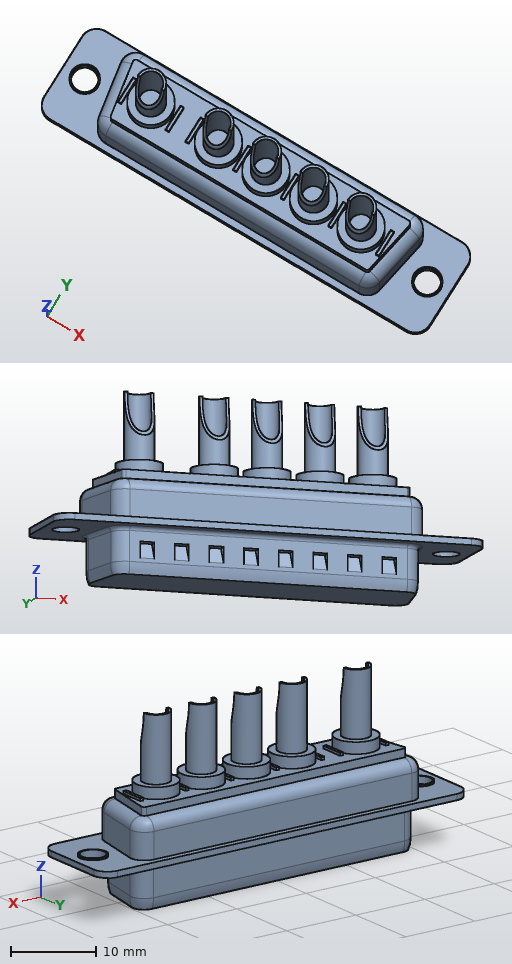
import cadquery as cq
import math

flange_length = 53.04
flange_width = 12.5
flange_corner_radius = 2.0
flange_bottom_z = 5.7
flange_top_z = 6.5
mount_hole_spacing = 47.1
mount_hole_diameter = 3.2
mount_lip_diameter = 3.6
mount_lip_height = 0.2

end_slope = math.tan(math.radians(10))

rear_width = 10.7
rear_mid_length = 39.9
rear_corner_radius = 1.9
rear_top_round = 1.5
rear_top_z = 11.5

insulator_top_z = 12.6

mating_width = 9.1
mating_mid_length = 39.1
mating_corner_radius = 1.85
flare_radius = 0.5
nose_height = 1.5
nose_mid_height = 0.7
nose_mid_inset = 0.06
nose_inset = 0.28

dimple_count = 8
dimple_pitch = 4.28
dimple_width = 1.75
dimple_bottom_z = 2.0
dimple_top_z = 3.95
dimple_depth = 0.5
dimple_draft = 20

contact_pitch = 6.54
first_contact_x = -14.45
last_contact_x = 14.45
equally_spaced_contacts = 4
collar_diameter = 5.6
collar_top_z = 14.1
cup_diameter = 3.6
cup_bore_diameter = 2.9
cup_top_z = 22.7
scoop_bottom_z = 17.25

rib_width = 0.45
rib_length = 3.4
rib_height = 0.35

contact_xs = [last_contact_x - i * contact_pitch for i in range(equally_spaced_contacts)]
rib_xs = [x + contact_pitch / 2 for x in contact_xs]
rib_xs.append(contact_xs[-1] - contact_pitch / 2)
rib_xs += [first_contact_x - contact_pitch / 2, first_contact_x + contact_pitch / 2]
contact_xs.append(first_contact_x)


def trapezoid_prism(mid_length, width, corner_radius, bottom_z, top_z):
    """Upright prism with a rounded trapezoid outline; mid_length is the length at Y = 0."""
    half_width = width / 2
    half_back = mid_length / 2 + half_width * end_slope
    half_front = mid_length / 2 - half_width * end_slope
    corners = [
        (-half_back, half_width),
        (half_back, half_width),
        (half_front, -half_width),
        (-half_front, -half_width),
    ]
    prism = cq.Workplane("XY").workplane(offset=bottom_z).polyline(corners).close()
    prism = prism.extrude(top_z - bottom_z)
    return prism.edges("|Z").fillet(corner_radius)


def inset_length(mid_length, inset):
    """Length at Y = 0 of a trapezoid whose sides all move inward by inset."""
    return mid_length - 2 * inset * math.hypot(1, end_slope)


def make_flange():
    plate = cq.Workplane("XY").workplane(offset=flange_bottom_z).rect(flange_length, flange_width)
    plate = plate.extrude(flange_top_z - flange_bottom_z).edges("|Z").fillet(flange_corner_radius)
    holes = [(-mount_hole_spacing / 2, 0), (mount_hole_spacing / 2, 0)]
    lips = cq.Workplane("XY").workplane(offset=flange_bottom_z).pushPoints(holes)
    lips = lips.circle(mount_lip_diameter / 2).extrude(flange_top_z + mount_lip_height - flange_bottom_z)
    bores = cq.Workplane("XY").pushPoints(holes).circle(mount_hole_diameter / 2).extrude(rear_top_z)
    return plate.union(lips).cut(bores)


def make_rear_shell():
    shell = trapezoid_prism(rear_mid_length, rear_width, rear_corner_radius, flange_bottom_z, rear_top_z)
    return shell.faces(">Z").edges().fillet(rear_top_round)


def make_insulator():
    insulator = trapezoid_prism(
        inset_length(rear_mid_length, rear_top_round),
        rear_width - 2 * rear_top_round,
        rear_corner_radius - rear_top_round,
        flange_bottom_z,
        insulator_top_z,
    )
    ribs = cq.Workplane("XY").workplane(offset=insulator_top_z).pushPoints([(x, 0) for x in rib_xs])
    return insulator.union(ribs.rect(rib_width, rib_length).extrude(rib_height))


def mating_outline(inset, z):
    """Outline wire of the mating shell at height z, moved inward by inset."""
    section = trapezoid_prism(
        inset_length(mating_mid_length, inset),
        mating_width - 2 * inset,
        mating_corner_radius - inset,
        z,
        flange_bottom_z,
    )
    return section.faces("<Z").wires().val()


def make_mating_shell():
    body = trapezoid_prism(
        mating_mid_length, mating_width, mating_corner_radius, nose_height, flange_bottom_z
    )
    nose_sections = [
        mating_outline(0, nose_height),
        mating_outline(nose_mid_inset, nose_mid_height),
        mating_outline(nose_inset, 0),
    ]
    return body.union(cq.Workplane(cq.Solid.makeLoft(nose_sections)))


def add_flare(body):
    """Concave fillet where the mating shell meets the underside of the flange."""
    half_x = (mount_hole_spacing - mount_lip_diameter) / 2
    half_y = mating_width / 2 + flare_radius
    joint_zone = cq.selectors.BoxSelector(
        (-half_x, -half_y, flange_bottom_z - flare_radius / 2),
        (half_x, half_y, flange_bottom_z + flare_radius / 2),
    )
    return body.edges("#Z").edges(joint_zone).fillet(flare_radius)


def make_dimple(x):
    """Wedge pocket that starts flush at its lower edge and is deepest at its upper ledge."""
    height = dimple_top_z - dimple_bottom_z
    face_y = -mating_width / 2
    pocket = cq.Workplane("XZ", origin=(x, face_y, dimple_bottom_z + height / 2))
    pocket = pocket.rect(dimple_width, height).extrude(-dimple_depth, taper=dimple_draft)
    wedge_points = [
        (face_y, dimple_bottom_z),
        (face_y, dimple_top_z),
        (face_y + dimple_depth, dimple_top_z),
    ]
    wedge = cq.Workplane("YZ", origin=(x, 0, 0)).polyline(wedge_points).close()
    return pocket.intersect(wedge.extrude(dimple_width / 2, both=True))


def make_contact(x):
    """Collar and hollow solder cup, scooped open toward -Y by a cylinder along X."""
    base = cq.Workplane("XY", origin=(x, 0, flange_bottom_z))
    collar = base.circle(collar_diameter / 2).extrude(collar_top_z - flange_bottom_z)
    cup = base.circle(cup_diameter / 2).extrude(cup_top_z - flange_bottom_z)
    bore = cq.Workplane("XY", origin=(x, 0, collar_top_z)).circle(cup_bore_diameter / 2)
    cup = cup.cut(bore.extrude(cup_top_z - collar_top_z))

    cup_radius = cup_diameter / 2
    scoop_height = cup_top_z - scoop_bottom_z
    scoop_radius = (scoop_height**2 + cup_radius**2) / (2 * cup_radius)
    arc_angle = math.asin(scoop_height / scoop_radius) / 2
    arc_middle = (
        -scoop_radius * (1 - math.cos(arc_angle)),
        cup_top_z - scoop_radius * math.sin(arc_angle),
    )
    scoop = cq.Workplane("YZ", origin=(x, 0, 0)).moveTo(0, cup_top_z)
    scoop = scoop.threePointArc(arc_middle, (-cup_radius, scoop_bottom_z))
    scoop = scoop.lineTo(-cup_diameter, scoop_bottom_z).lineTo(-cup_diameter, cup_top_z).close()
    return collar.union(cup.cut(scoop.extrude(cup_diameter, both=True)))


result = add_flare(make_flange().union(make_mating_shell()))
result = result.union(make_rear_shell()).union(make_insulator())
for contact_x in contact_xs:
    result = result.union(make_contact(contact_x))
for i in range(dimple_count):
    result = result.cut(make_dimple((i - (dimple_count - 1) / 2) * dimple_pitch))